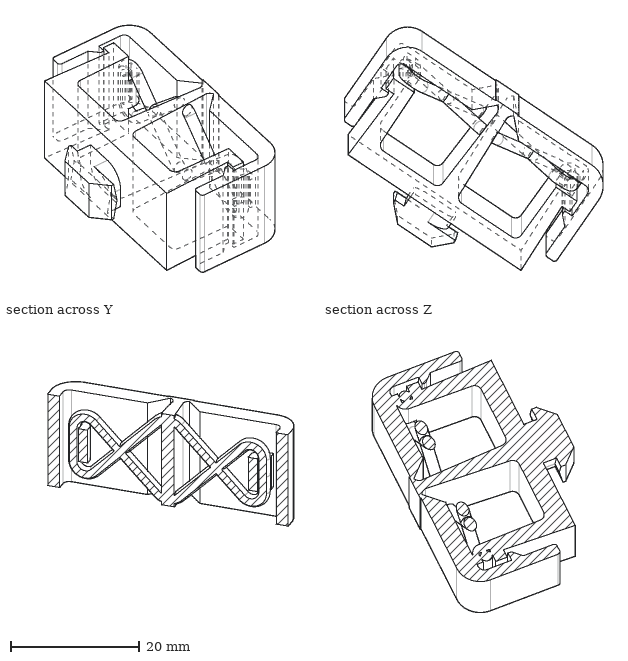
import cadquery as cq
import math

height = 16.0
mid_z = height / 2
half_width = 20.0

base_front_half = 16.3
base_neck_half = 15.85
bay_front_y = 3.6
bay_outer_front = 13.15
bay_outer_back = 13.35
bay_corner_radius = 1.1
post_top_y = 14.0
ledge_y = 12.0
ledge_half = 17.3

web_front_half = 1.62
web_back_half = 0.87
web_back_y = 18.7

bridge_back_y = 20.05
bridge_inner_y = 16.8
bridge_corner_radius = 4.0
bridge_inner_radius = 1.0
pad_half = 2.15
pad_back_y = 20.2
notch_outer = 4.35
notch_tip = 1.55
notch_tip_y = bridge_inner_y + notch_outer - notch_tip
notch_round = (1.13, 19.27)
arm_thickness = 2.0
arm_inner = half_width - arm_thickness
arm_front_y = 4.05
arm_end_radius = 0.5
barb_back_y = 11.65
barb_tip_y = 11.0
barb_tip = 16.6
barb_tip_radius = 0.5

stem_neck_outer = 14.9
stem_lip_outer = 16.6
stem_lip_y = 15.8
stem_height = 5.8
stem_side_y = 15.4
stem_flat_end = 15.0
stem_round = (13.93, 16.4)

wire_diameter = 1.9
wire_y = 14.9
wire_end = 15.75
wire_crossing = 8.0
wire_center_radius = 2.6
wire_end_radius = 2.0

foot_height = 7.1
foot_half = 5.7
foot_flat_half = 3.2
foot_front_y = -5.5
foot_chamfer_y = foot_front_y + foot_half - foot_flat_half
foot_ridge_y = -1.9
foot_edge_y = -2.55
neck_half = 4.0
neck_radius = 3.5


def both_sides(shape):
    """Join a shape with its mirror image across the YZ plane."""
    return shape.union(shape.mirror("YZ"))


def make_base_half():
    """Right half of the base, with its post and half of the web."""
    base = (
        cq.Workplane("XY")
        .moveTo(0, 0)
        .lineTo(base_front_half, 0)
        .lineTo(base_neck_half, ledge_y)
        .lineTo(ledge_half, ledge_y)
        .lineTo(ledge_half, post_top_y)
        .lineTo(bay_outer_back, post_top_y)
        .lineTo(bay_outer_front, bay_front_y)
        .lineTo(web_front_half, bay_front_y)
        .lineTo(web_back_half, web_back_y)
        .threePointArc(notch_round, (notch_tip, notch_tip_y))
        .lineTo(notch_tip, pad_back_y)
        .lineTo(0, pad_back_y)
        .close()
        .extrude(height)
    )
    pick_margin = 0.1
    bay_corners = cq.selectors.BoxSelector(
        (web_front_half - pick_margin, bay_front_y - pick_margin, 0),
        (bay_outer_front + pick_margin, bay_front_y + pick_margin, height),
    )
    return base.edges(bay_corners).edges("|Z").fillet(bay_corner_radius)


def make_bridge_half():
    """Right half of the back bridge, with its arm and snap barb."""
    bend_x = half_width - bridge_corner_radius
    bend_y = bridge_back_y - bridge_corner_radius
    barb_front_y = barb_tip_y - (arm_inner - barb_tip)
    barb_tangent = barb_tip_radius * math.tan(math.radians(45 / 2))
    barb_slope_offset = barb_tangent * math.sqrt(0.5)
    return (
        cq.Workplane("XY")
        .moveTo(notch_tip, pad_back_y)
        .lineTo(pad_half, pad_back_y)
        .lineTo(pad_half, bridge_back_y)
        .lineTo(bend_x, bridge_back_y)
        .radiusArc((half_width, bend_y), bridge_corner_radius)
        .lineTo(half_width, arm_front_y + arm_end_radius)
        .radiusArc((half_width - arm_end_radius, arm_front_y), arm_end_radius)
        .lineTo(arm_inner + arm_end_radius, arm_front_y)
        .radiusArc((arm_inner, arm_front_y + arm_end_radius), arm_end_radius)
        .lineTo(arm_inner, barb_front_y)
        .lineTo(barb_tip + barb_slope_offset, barb_tip_y - barb_slope_offset)
        .radiusArc((barb_tip, barb_tip_y + barb_tangent), barb_tip_radius)
        .lineTo(barb_tip, barb_back_y)
        .lineTo(arm_inner, barb_back_y)
        .lineTo(arm_inner, bridge_inner_y - bridge_inner_radius)
        .radiusArc((arm_inner - bridge_inner_radius, bridge_inner_y), -bridge_inner_radius)
        .lineTo(notch_outer, bridge_inner_y)
        .lineTo(notch_tip, notch_tip_y)
        .close()
        .extrude(height)
    )


def make_stem():
    """Stem from the post top to the bridge, with a lip that reaches out behind the wire."""
    bay_face_slope = (bay_outer_back - bay_outer_front) / (post_top_y - bay_front_y)
    stem_inner = bay_outer_back + bay_face_slope * (stem_side_y - post_top_y)
    return (
        cq.Workplane("XY", origin=(0, 0, mid_z - stem_height / 2))
        .moveTo(stem_neck_outer, post_top_y)
        .lineTo(stem_neck_outer, stem_lip_y)
        .lineTo(stem_lip_outer, stem_lip_y)
        .lineTo(stem_lip_outer, bridge_inner_y)
        .lineTo(stem_flat_end, bridge_inner_y)
        .threePointArc(stem_round, (stem_inner, stem_side_y))
        .lineTo(bay_outer_back, post_top_y)
        .close()
        .extrude(stem_height)
    )


def make_wire():
    """Wire lattice: a zigzag from end to end, joined with its mirror image in Z."""
    end_tangent = wire_end_radius * math.tan(math.radians(135 / 2))
    end_corner_z = mid_z + wire_end - wire_crossing
    end_bend_z = end_corner_z - end_tangent
    slope_x = wire_end - end_tangent * math.sqrt(0.5)
    slope_z = mid_z + slope_x - wire_crossing
    center_x = wire_center_radius * math.sqrt(0.5)
    center_z = mid_z + center_x - wire_crossing

    path = (
        cq.Workplane("XZ", origin=(0, wire_y, 0))
        .moveTo(-wire_end, mid_z)
        .lineTo(-wire_end, end_bend_z)
        .tangentArcPoint((-slope_x, slope_z), relative=False)
        .lineTo(-center_x, center_z)
        .tangentArcPoint((center_x, center_z), relative=False)
        .lineTo(slope_x, slope_z)
        .tangentArcPoint((wire_end, end_bend_z), relative=False)
        .lineTo(wire_end, mid_z)
    )
    zigzag = (
        cq.Workplane("XY", origin=(-wire_end, wire_y, mid_z))
        .circle(wire_diameter / 2)
        .sweep(path)
    )
    return zigzag.union(zigzag.mirror("XY", (0, 0, mid_z)))


def make_foot():
    """Locking foot: a chamfered head with a ridged back, on a neck with two rounded corners."""
    bottom_z = mid_z - foot_height / 2
    top_z = mid_z + foot_height / 2
    outline = (
        cq.Workplane("XY", origin=(0, 0, bottom_z))
        .moveTo(-foot_half, 0)
        .lineTo(-foot_half, foot_chamfer_y)
        .lineTo(-foot_flat_half, foot_front_y)
        .lineTo(foot_flat_half, foot_front_y)
        .lineTo(foot_half, foot_chamfer_y)
        .lineTo(foot_half, 0)
        .close()
        .extrude(foot_height)
    )
    ridged_bar = (
        cq.Workplane("YZ", origin=(-foot_half, 0, 0))
        .moveTo(foot_front_y, bottom_z)
        .lineTo(foot_edge_y, bottom_z)
        .lineTo(foot_ridge_y, mid_z)
        .lineTo(foot_edge_y, top_z)
        .lineTo(foot_front_y, top_z)
        .close()
        .extrude(2 * foot_half)
    )
    neck = (
        cq.Workplane("XZ")
        .moveTo(-neck_half, top_z)
        .lineTo(neck_half - neck_radius, top_z)
        .radiusArc((neck_half, top_z - neck_radius), neck_radius)
        .lineTo(neck_half, bottom_z)
        .lineTo(-neck_half + neck_radius, bottom_z)
        .radiusArc((-neck_half, bottom_z + neck_radius), neck_radius)
        .close()
        .extrude(-foot_edge_y)
    )
    return outline.intersect(ridged_bar).union(neck)


half_body = make_base_half().union(make_bridge_half()).union(make_stem())
result = both_sides(half_body).union(make_wire()).union(make_foot())